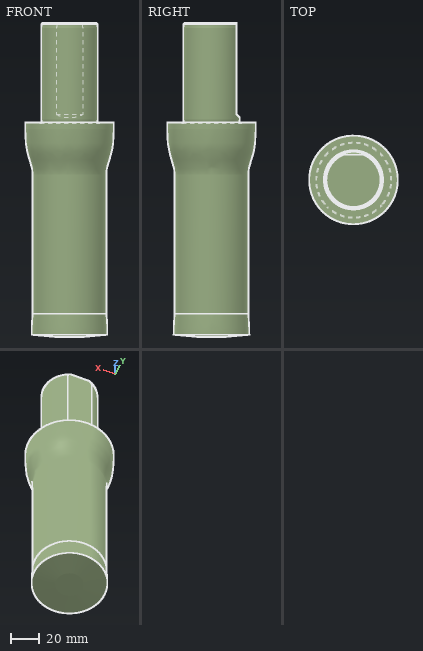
import cadquery as cq

total_height = 221.0
shank_length = 70.0
shoulder_z = total_height - shank_length
collar_height = 4.6
collar_bottom_z = shoulder_z - collar_height
flare_height = 32.0
flare_bottom_z = collar_bottom_z - flare_height
head_height = 16.4
tip_height = 1.5

shank_radius = 40.0 / 2
neck_radius = 39.5 / 2
shank_end_radius = 38.0 / 2
collar_radius = 62.5 / 2
body_radius = 52.2 / 2
head_radius = 53.5 / 2
head_middle_radius = 53.3 / 2
tip_flat_radius = 10.0

flare_upper_radius = 30.3
flare_upper_z = 132.5
flare_lower_radius = 27.2
flare_lower_z = 121.3

end_chamfer_height = 1.0
end_land_height = 0.7
end_taper_height = 1.8
undercut_height = 2.0
undercut_taper = 1.3
recess_radius = 41.8 / 2
recess_depth = 0.5
flat_offset = 17.7
flat_end_z = shoulder_z + 5.7
runout = shank_radius - flat_offset


def make_flat_cutter():
    """Prism on the +Y side of the shank, with a 45 degree runout at its lower end."""
    return (
        cq.Workplane("YZ")
        .moveTo(flat_offset, total_height)
        .lineTo(flat_offset, flat_end_z)
        .lineTo(flat_offset + 2 * runout, flat_end_z - 2 * runout)
        .lineTo(flat_offset + 2 * runout, total_height)
        .close()
        .extrude(shank_radius, both=True)
    )


def make_holder():
    """Shank, undercut, collar, flared shoulder and cylindrical body in one turned piece."""
    chamfer_z = total_height - end_chamfer_height
    land_z = chamfer_z - end_land_height
    taper_z = land_z - end_taper_height
    undercut_z = shoulder_z + undercut_height
    recess_z = shoulder_z - recess_depth
    profile = (
        cq.Workplane("XZ")
        .moveTo(0, total_height)
        .lineTo(shank_end_radius, total_height)
        .lineTo(neck_radius, chamfer_z)
        .lineTo(neck_radius, land_z)
        .lineTo(shank_radius, taper_z)
        .lineTo(shank_radius, undercut_z)
        .lineTo(neck_radius, undercut_z - undercut_taper)
        .lineTo(neck_radius, recess_z)
        .lineTo(recess_radius, recess_z)
        .lineTo(recess_radius, shoulder_z)
        .lineTo(collar_radius, shoulder_z)
        .lineTo(collar_radius, collar_bottom_z)
        .spline(
            [
                (flare_upper_radius, flare_upper_z),
                (flare_lower_radius, flare_lower_z),
                (body_radius, flare_bottom_z),
            ],
            tangents=[(0, -1), (0, -1)],
            includeCurrent=True,
        )
        .lineTo(body_radius, head_height)
        .lineTo(0, head_height)
        .close()
    )
    turned = profile.revolve(360, (0, 0, 0), (0, 1, 0))
    return turned.cut(make_flat_cutter())


def make_cutting_head():
    """Slightly flared head ending in a shallow cone with a flat tip."""
    head_middle_z = (head_height + tip_height) / 2
    return (
        cq.Workplane("XZ")
        .moveTo(0, head_height)
        .lineTo(body_radius, head_height)
        .threePointArc((head_middle_radius, head_middle_z), (head_radius, tip_height))
        .lineTo(tip_flat_radius, 0)
        .lineTo(0, 0)
        .close()
        .revolve(360, (0, 0, 0), (0, 1, 0))
    )


holder = make_holder()
cutting_head = make_cutting_head()

result = cq.Compound.makeCompound([holder.val(), cutting_head.val()])